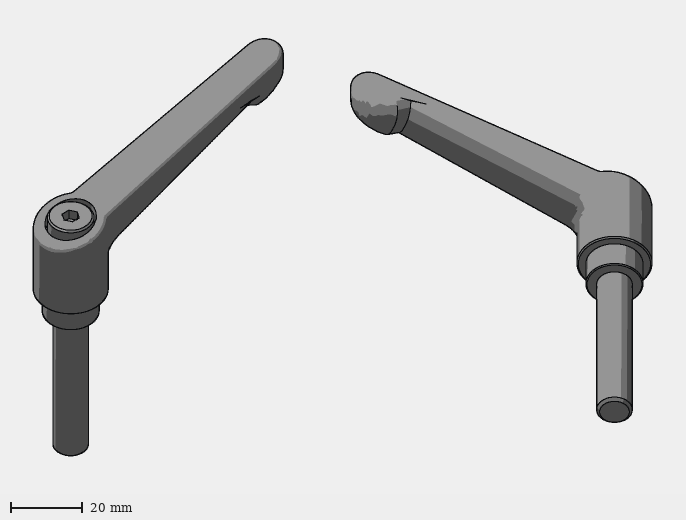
import cadquery as cq
import math


stud_diameter = 10.0
stud_chamfer = 0.8
collar_diameter = 16.0
collar_bottom = 50.3
collar_chamfer = 0.3

hub_diameter = 21.0
hub_bottom = 58.4
hub_bottom_chamfer = 0.4
top_on_axis = 84.6
top_angle = 15.0
top_edge_radius = 1.8

arm_end = 78.0
tip_radius = 6.0
arm_taper_angle = 1.3
root_corner_y = 7.4
root_corner_tolerance = 1.0
under_edge_radius = 5.0
root_corner_radius = 1.3
under_angle = 20.0
under_start_y = 12.9
under_start_z = 73.7
under_end_y = 65.1
root_arc_y = 9.7
root_arc_z = 69.3

knob_front_z = 98.2
knob_belly_y = 73.9
knob_belly_z = 92.2
knob_bottom_y = 65.6
knob_bottom_z = 89.6
knob_back_y = 55.6
knob_inner_y = 52.5
knob_inner_z = 95.5

recess_diameter = 14.3
recess_floor = 79.8
screw_diameter = 13.0
screw_top = 86.0
screw_chamfer = 0.5
hex_across_flats = 4.3
hex_depth = 3.2
hex_sides = 6
hex_turn = 90.0

flat_edge_length = 0.01
below_top_margin = 2.1
prism_height = 126.0


def top_height(y):
    """Height of the sloping top plane at a given Y."""
    return top_on_axis + y * math.tan(math.radians(top_angle))



def arm_plan():
    """Tapered plan outline of the arm with a round tip, as a tall prism."""
    tip_center_y = arm_end - tip_radius
    taper = math.radians(arm_taper_angle)
    tangent_x = tip_radius * math.cos(taper)
    tangent_y = tip_center_y + tip_radius * math.sin(taper)
    root_half_width = (tip_radius + tip_center_y * math.sin(taper)) / math.cos(taper)
    return (
        cq.Workplane("XY")
        .moveTo(-root_half_width, 0)
        .lineTo(-tangent_x, tangent_y)
        .threePointArc((0, arm_end), (tangent_x, tangent_y))
        .lineTo(root_half_width, 0)
        .close()
        .extrude(prism_height)
    )


def round_under_edges(body, y_start, z_limit):
    """Round the lower edges running along both flanks beyond y_start and below z_limit."""

    def is_under_edge(edge):
        middle = edge.positionAt(0.5)
        box = edge.BoundingBox()
        runs_along_arm = box.ymax - box.ymin > flat_edge_length
        below_top = middle.z < min(z_limit, top_height(middle.y) - below_top_margin)
        return runs_along_arm and below_top and middle.y > y_start

    under_edges = [edge for edge in body.edges().vals() if is_under_edge(edge)]
    return body.newObject(under_edges).fillet(under_edge_radius)


def make_beam():
    """Straight part of the arm, thinning toward the tip, with a concave root at the hub."""
    under_end_z = under_start_z + (under_end_y - under_start_y) * math.tan(math.radians(under_angle))
    side = (
        cq.Workplane("YZ")
        .moveTo(0, top_height(0))
        .lineTo(under_end_y, top_height(under_end_y))
        .lineTo(under_end_y, under_end_z)
        .lineTo(under_start_y, under_start_z)
        .tangentArcPoint((root_arc_y, root_arc_z), relative=False)
        .lineTo(0, root_arc_z)
        .close()
        .extrude(hub_diameter / 2, both=True)
    )
    return round_under_edges(side.intersect(arm_plan()), root_arc_y, prism_height)


def make_knob():
    """Tip of the arm with the rounded knob that hangs below the beam."""
    side = (
        cq.Workplane("YZ")
        .moveTo(knob_inner_y, top_height(knob_inner_y))
        .lineTo(arm_end, top_height(arm_end))
        .lineTo(arm_end, knob_front_z)
        .threePointArc((knob_belly_y, knob_belly_z), (knob_bottom_y, knob_bottom_z))
        .lineTo(knob_back_y, knob_inner_z)
        .lineTo(knob_inner_y, knob_inner_z)
        .close()
        .extrude(hub_diameter / 2, both=True)
    )
    return round_under_edges(side.intersect(arm_plan()), knob_back_y, knob_front_z)


def make_hub():
    """Upright cylinder cut off by the sloping top plane."""
    radius = hub_diameter / 2
    below_top_plane = (
        cq.Workplane("YZ")
        .moveTo(-radius, hub_bottom)
        .lineTo(-radius, top_height(-radius))
        .lineTo(radius, top_height(radius))
        .lineTo(radius, hub_bottom)
        .close()
        .extrude(radius, both=True)
    )
    cylinder = (
        cq.Workplane("XY", origin=(0, 0, hub_bottom))
        .circle(radius)
        .extrude(prism_height)
        .faces("<Z")
        .chamfer(hub_bottom_chamfer)
    )
    return cylinder.intersect(below_top_plane)


def make_handle():
    """Hub and arm in one piece, with a recess for the screw head."""
    body = make_hub().union(make_beam()).union(make_knob()).clean()
    slope = math.radians(top_angle)
    top_normal = cq.Vector(0, -math.sin(slope), math.cos(slope))
    root_corners = cq.selectors.BoxSelector(
        (-hub_diameter, root_corner_y - root_corner_tolerance, root_arc_z),
        (hub_diameter, root_corner_y + root_corner_tolerance, prism_height),
    )
    body = body.edges("|Z").edges(root_corners).fillet(root_corner_radius)
    top_face = body.faces(cq.selectors.DirectionMinMaxSelector(top_normal))
    body = top_face.edges().fillet(top_edge_radius)
    recess = (
        cq.Workplane("XY", origin=(0, 0, recess_floor))
        .circle(recess_diameter / 2)
        .extrude(prism_height)
    )
    return body.cut(recess)


def make_screw():
    """Cylindrical screw head standing on the recess floor, with a hexagon socket."""
    head = (
        cq.Workplane("XY", origin=(0, 0, recess_floor))
        .circle(screw_diameter / 2)
        .extrude(screw_top - recess_floor)
        .faces(">Z")
        .chamfer(screw_chamfer)
    )
    hex_across_corners = hex_across_flats / math.cos(math.pi / hex_sides)
    socket = (
        cq.Workplane("XY", origin=(0, 0, screw_top - hex_depth))
        .transformed(rotate=(0, 0, hex_turn))
        .polygon(hex_sides, hex_across_corners)
        .extrude(hex_depth)
    )
    return head.cut(socket)


def make_insert():
    """Stud with the collar that carries the hub."""
    stud = (
        cq.Workplane("XY")
        .circle(stud_diameter / 2)
        .extrude(collar_bottom)
        .faces("<Z")
        .chamfer(stud_chamfer)
    )
    collar = (
        cq.Workplane("XY", origin=(0, 0, collar_bottom))
        .circle(collar_diameter / 2)
        .extrude(hub_bottom - collar_bottom)
        .faces("<Z")
        .chamfer(collar_chamfer)
    )
    return stud.union(collar)


handle = make_handle()
screw = make_screw()
insert = make_insert()

result = cq.Compound.makeCompound([handle.val(), screw.val(), insert.val()])